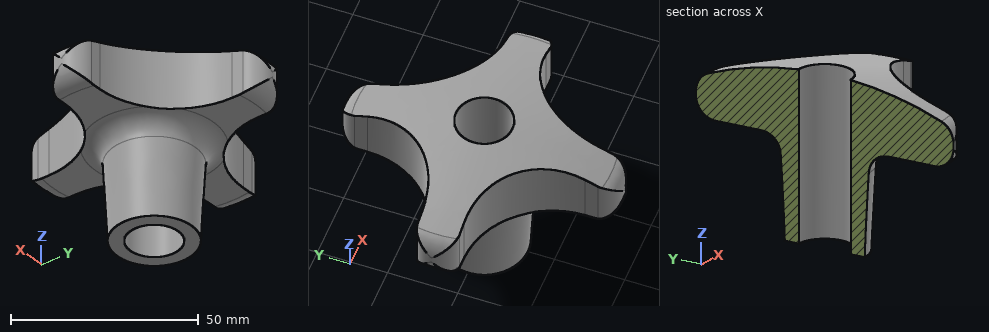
import cadquery as cq
import math

head_radius = 40.0
head_bottom = 30.0
dome_apex = 50.0
dome_radius = 100.0
edge_radius = 6.0
arm_width = 11.9
arm_half_width = arm_width / 2
scallop_center = 31.0
stem_bottom_radius = 12.5
stem_taper = math.radians(3)
flare_radius = 6.0
bore_diameter = 16.0


def make_head_blank():
    """Revolved disc with a domed top and rounded rim."""
    dome_center = dome_apex - dome_radius
    rim_center_r = head_radius - edge_radius
    center_distance = dome_radius - edge_radius
    upper_center_z = dome_center + math.sqrt(center_distance**2 - rim_center_r**2)
    lower_center_z = head_bottom + edge_radius
    rim_angle = math.acos(rim_center_r / center_distance)

    def on_dome(angle):
        return (dome_radius * math.cos(angle), dome_center + dome_radius * math.sin(angle))

    def on_rim(center_z, angle):
        return (rim_center_r + edge_radius * math.cos(angle), center_z + edge_radius * math.sin(angle))

    return (
        cq.Workplane("XZ")
        .moveTo(0, head_bottom)
        .lineTo(rim_center_r, head_bottom)
        .threePointArc(on_rim(lower_center_z, -math.pi / 4), on_rim(lower_center_z, 0))
        .lineTo(*on_rim(upper_center_z, 0))
        .threePointArc(on_rim(upper_center_z, rim_angle / 2), on_dome(rim_angle))
        .threePointArc(on_dome((rim_angle + math.pi / 2) / 2), (0, dome_apex))
        .close()
        .revolve(360, (0, 0, 0), (0, 1, 0))
    )


def make_arm_bar():
    """Pair of opposite arms along X, slightly narrower than their round tips."""
    tip_center = head_radius - edge_radius
    tip_start = tip_center + math.sqrt(edge_radius**2 - arm_half_width**2)
    return (
        cq.Workplane("XY")
        .workplane(offset=head_bottom)
        .moveTo(-tip_start, -arm_half_width)
        .lineTo(tip_start, -arm_half_width)
        .threePointArc((head_radius, 0), (tip_start, arm_half_width))
        .lineTo(-tip_start, arm_half_width)
        .threePointArc((-head_radius, 0), (-tip_start, -arm_half_width))
        .close()
        .extrude(dome_apex - head_bottom)
    )


def make_crossed_arms():
    """Two crossed arm bars with a square hub filling the corners between them."""
    hub = (
        cq.Workplane("XY")
        .workplane(offset=head_bottom)
        .rect(2 * scallop_center, 2 * scallop_center)
        .extrude(dome_apex - head_bottom)
    )
    bar = make_arm_bar()
    return hub.union(bar).union(bar.rotate((0, 0, 0), (0, 0, 1), 90))


def make_scallops():
    """Four cylinders tangent to the arm sides, one in each corner."""
    return (
        cq.Workplane("XY")
        .rect(2 * scallop_center, 2 * scallop_center, forConstruction=True)
        .vertices()
        .circle(scallop_center - arm_half_width)
        .extrude(dome_apex)
    )


def make_stem():
    """Stem widening upward, with a tangent flare into the underside of the head."""
    flare_center_z = head_bottom - flare_radius
    flare_start_z = flare_center_z + flare_radius * math.sin(stem_taper)
    flare_start_r = stem_bottom_radius + flare_start_z * math.tan(stem_taper)
    flare_center_r = flare_start_r + flare_radius * math.cos(stem_taper)
    middle_angle = (stem_taper + math.pi / 2) / 2
    flare_middle = (
        flare_center_r - flare_radius * math.cos(middle_angle),
        flare_center_z + flare_radius * math.sin(middle_angle),
    )
    return (
        cq.Workplane("XZ")
        .moveTo(0, 0)
        .lineTo(stem_bottom_radius, 0)
        .lineTo(flare_start_r, flare_start_z)
        .threePointArc(flare_middle, (flare_center_r, head_bottom))
        .lineTo(0, head_bottom)
        .close()
        .revolve(360, (0, 0, 0), (0, 1, 0))
    )


head = make_head_blank().intersect(make_crossed_arms())
bore = cq.Workplane("XY").circle(bore_diameter / 2).extrude(dome_apex)
result = head.union(make_stem()).cut(make_scallops()).cut(bore)